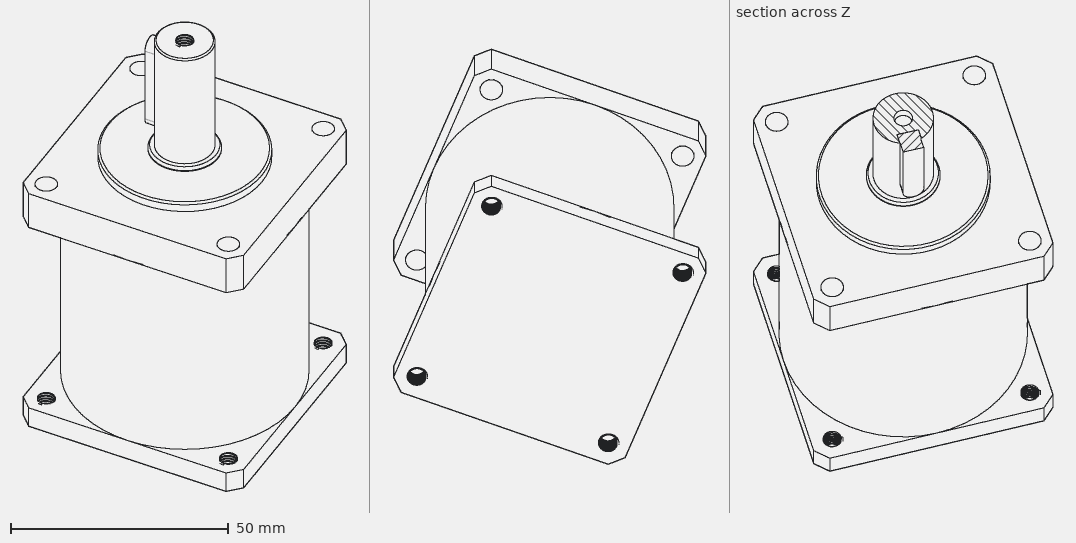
import cadquery as cq

Z_AXIS = ((0, 0, 0), (0, 0, 1))

plate_side = 57.0
plate_corner_chamfer = 3.0
base_thickness = 5.5
barrel_diameter = plate_side
barrel_length = 53.5
flange_thickness = 10.0
pilot_diameter = 40.0
pilot_height = 2.5
pilot_chamfer = 0.5

hole_spacing = 47.1
flange_hole_diameter = 5.2

thread_minor_diameter = 4.1
thread_major_diameter = 5.0
thread_pitch = 0.8
thread_turns = 8
thread_overlap = 0.2
thread_groove_width = 0.75
thread_start_angle = -90
thread_start_depth = 0.2

shaft_diameter = 14.0
shaft_length = 32.0
shaft_chamfer = 0.4
shoulder_diameter = 17.0
shoulder_height = 1.0
shoulder_chamfer_axial = 0.8
shoulder_chamfer_radial = 0.4
center_hole_depth = 10.0

key_width = 5.0
key_height = 5.0
key_length = 25.0
key_projection = 2.1
key_end_gap = 2.5

housing_turn = 0.7

flange_bottom = base_thickness + barrel_length
flange_top = flange_bottom + flange_thickness
pilot_top = flange_top + pilot_height
shaft_top = pilot_top + shaft_length
key_middle = shaft_top - key_end_gap - key_length / 2


def make_cylinder(bottom, diameter, height):
    """Cylinder on the Z axis; a negative height goes down."""
    return cq.Workplane("XY", origin=(0, 0, bottom)).circle(diameter / 2).extrude(height)


def make_thread_groove():
    """Helical V groove for a hole whose top is at z = 0."""
    major_radius = thread_major_diameter / 2
    inner_radius = thread_minor_diameter / 2 - thread_overlap
    length = thread_turns * thread_pitch
    helix = cq.Workplane(cq.Wire.makeHelix(thread_pitch, length, major_radius))
    groove = (
        cq.Workplane("XZ")
        .moveTo(inner_radius, -thread_groove_width / 2)
        .lineTo(major_radius, 0)
        .lineTo(inner_radius, thread_groove_width / 2)
        .close()
        .sweep(helix, isFrenet=True)
    )
    return groove.translate((0, 0, -length - thread_start_depth)).rotate(*Z_AXIS, thread_start_angle)


def hole_centers():
    """Centres of the four mounting holes."""
    return cq.Workplane("XY").rect(hole_spacing, hole_spacing, forConstruction=True).vertices().vals()


def make_plate(bottom, thickness):
    """Square plate with chamfered corners."""
    return (
        cq.Workplane("XY", origin=(0, 0, bottom))
        .rect(plate_side, plate_side)
        .extrude(thickness)
        .edges("|Z")
        .chamfer(plate_corner_chamfer)
    )


def make_housing(thread_groove):
    """Base plate, round barrel, mounting flange and centring pilot as one solid."""
    base = make_plate(0, base_thickness)
    flange = make_plate(flange_bottom, flange_thickness)
    tapping_hole = make_cylinder(base_thickness, thread_minor_diameter, -base_thickness)
    groove = thread_groove.translate((0, 0, base_thickness))
    clearance_hole = make_cylinder(flange_top, flange_hole_diameter, -flange_thickness)
    for vertex in hole_centers():
        center = vertex.Center()
        base = base.cut(tapping_hole.translate(center)).cut(groove.translate(center))
        flange = flange.cut(clearance_hole.translate(center))
    barrel = make_cylinder(base_thickness, barrel_diameter, barrel_length)
    pilot = make_cylinder(flange_top, pilot_diameter, pilot_height).faces(">Z").chamfer(pilot_chamfer)
    housing = base.union(barrel).union(flange).union(pilot)
    return housing.rotate(*Z_AXIS, housing_turn)


def make_key():
    """Key lying along Z, with its outer face beyond the shaft surface."""
    outer_face_x = -(shaft_diameter / 2 + key_projection)
    return (
        cq.Workplane("YZ", origin=(outer_face_x, 0, key_middle))
        .slot2D(key_length, key_width, 90)
        .extrude(key_height)
    )


def make_shaft(key, thread_groove):
    """Shaft with a shoulder at its foot, a threaded blind hole and a keyway fitting the key."""
    shoulder = (
        make_cylinder(pilot_top, shoulder_diameter, shoulder_height)
        .faces(">Z")
        .chamfer(shoulder_chamfer_axial, shoulder_chamfer_radial)
    )
    journal = make_cylinder(pilot_top, shaft_diameter, shaft_length).faces(">Z").chamfer(shaft_chamfer)
    center_hole = make_cylinder(shaft_top, thread_minor_diameter, -center_hole_depth)
    groove = thread_groove.translate((0, 0, shaft_top))
    return journal.union(shoulder).cut(center_hole).cut(groove).cut(key)


thread_groove = make_thread_groove()
key = make_key()
shaft = make_shaft(key, thread_groove)
housing = make_housing(thread_groove)

result = cq.Compound.makeCompound([*housing.solids().vals(), *shaft.solids().vals(), key.val()])